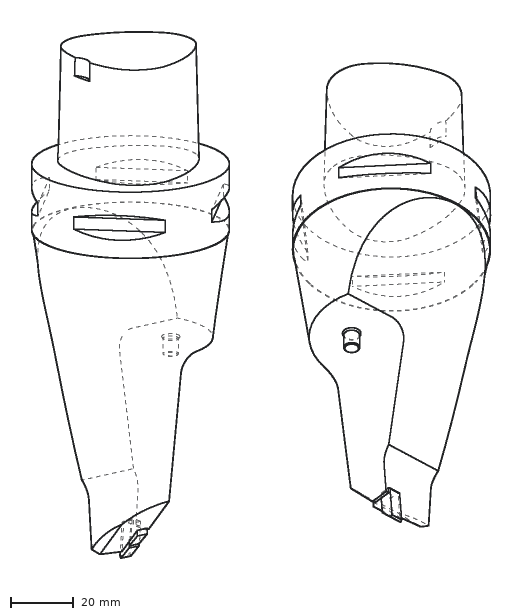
import cadquery as cq
import math

total_length = 168.0
BIG = 100.8

shank_length = 38.0
lobe_radius = 14.5
lobe_center_distance = 9.4
lobe_flat_distance = 20.5
taper_per_side = 1 / 40
notch_depth_z = 6.0
notch_radius = 5.9
notch_axis_y = -23.9

flange_radius = 63.0 / 2
flange_height = 22.0
slot_floor_radius = 27.9
slot_floor_height = 4.0
slot_center_z = -12.0
slot_wall_angle = math.radians(30)

neck_top_radius = 31.2
neck_half_angle = math.radians(8)
neck_bottom_z = -132.7

scoop_end = (-7.2, -61.0)
blade_tilt = math.radians(11)
relief_start_z = -101.1
relief_end = (2.9, -107.7)
rake_angle = math.radians(5)

blade_side_y = 0.7
step_z = -57.6
step_fillet = 6.0

heel = (19.5, -107.4)
end_slope = math.tan(math.radians(48))
end_bevel_inner = (-13.3, 0.7)
end_bevel_outer = (-17.1, 3.0)

insert_y_max = -0.3
insert_width = 4.0
rim_end_z = -119.5
support_tip = (4.9, -125.0)
support_heel = (9.2, -120.6)
support_height = 5.0

insert_top_z = -117.3
insert_stand_off = 0.8
insert_top_drop = 0.7
insert_edge_z = -129.4
insert_tip = (0.7, shank_length - total_length)
insert_heel = (4.9, -125.7)

nozzle_x = 6.7
nozzle_y = 11.0
nozzle_diameter = 5.0
nozzle_length = 6.0
collar_diameter = 5.9
collar_height = 0.7
nozzle_chamfer = 0.3


def rake_x(z):
    """X of the blade's rake face at height z."""
    return relief_end[0] + (z - relief_end[1]) * math.tan(rake_angle)


def polar(radius, angle):
    """Point at a radius and an angle in degrees around the tool axis."""
    return (radius * math.cos(math.radians(angle)), radius * math.sin(math.radians(angle)))


def add_lobe_outline(plane, inset):
    """Three lobes, one on +Y, joined by tangent side arcs; inset shrinks them evenly."""
    gap = lobe_flat_distance - lobe_radius
    side_center_distance = (gap**2 - lobe_center_distance**2) / (lobe_center_distance - 2 * gap)
    side_radius = side_center_distance + lobe_flat_distance
    half_sweep = math.asin(
        lobe_center_distance * math.sin(math.radians(60)) / (side_radius - lobe_radius)
    )
    inset_radius = side_radius - inset
    tangent_out = inset_radius * math.cos(half_sweep) - side_center_distance
    tangent_across = inset_radius * math.sin(half_sweep)
    tangent_radius = math.hypot(tangent_out, tangent_across)
    tangent_angle = math.degrees(math.atan2(tangent_across, tangent_out))
    lobe_tip = lobe_center_distance + lobe_radius - inset
    flat = lobe_flat_distance - inset

    outline = plane.moveTo(*polar(tangent_radius, 30 - tangent_angle))
    for side_angle in (30, 150, 270):
        outline = outline.threePointArc(
            polar(flat, side_angle), polar(tangent_radius, side_angle + tangent_angle)
        ).threePointArc(
            polar(lobe_tip, side_angle + 60),
            polar(tangent_radius, side_angle + 120 - tangent_angle),
        )
    return outline.close()


def make_shank():
    base = add_lobe_outline(cq.Workplane("XY"), 0)
    top_plane = base.workplane(offset=shank_length)
    shank = add_lobe_outline(top_plane, shank_length * taper_per_side).loft(ruled=True)
    notch = (
        cq.Workplane("XY", origin=(0, notch_axis_y, shank_length - notch_depth_z))
        .circle(notch_radius)
        .extrude(notch_depth_z)
    )
    return shank.cut(notch)


def make_flange():
    flange = cq.Workplane("XY").circle(flange_radius).extrude(-flange_height)
    depth = flange_radius - slot_floor_radius
    half_floor = slot_floor_height / 2
    half_mouth = half_floor + depth * math.tan(slot_wall_angle)
    slot = (
        cq.Workplane("XZ", origin=(0, 0, slot_center_z))
        .polyline([
            (slot_floor_radius, -half_floor),
            (flange_radius, -half_mouth),
            (flange_radius, half_mouth),
            (slot_floor_radius, half_floor),
        ])
        .close()
        .extrude(flange_radius, both=True)
    )
    for angle in (45, 135, 225, 315):
        flange = flange.cut(slot.rotate((0, 0, 0), (0, 0, 1), angle))
    return flange


def make_neck():
    neck_height = -flange_height - neck_bottom_z
    bottom_radius = neck_top_radius - neck_height * math.tan(neck_half_angle)
    return (
        cq.Workplane("XZ")
        .polyline([
            (0, -flange_height),
            (neck_top_radius, -flange_height),
            (bottom_radius, neck_bottom_z),
            (0, neck_bottom_z),
        ])
        .close()
        .revolve(360, (0, 0), (0, 1))
    )


def arc_middle(start, end, end_direction):
    """Middle point of the arc from start to end that leaves end along end_direction."""
    dx = end[0] - start[0]
    dz = end[1] - start[1]
    chord_angle = math.atan2(dz, dx)
    half_sweep = math.atan2(end_direction[1], end_direction[0]) - chord_angle
    sagitta = math.hypot(dx, dz) / 2 * math.tan(half_sweep / 2)
    return (
        (start[0] + end[0]) / 2 + sagitta * math.sin(chord_angle),
        (start[1] + end[1]) / 2 - sagitta * math.cos(chord_angle),
    )


def scoop_cutter():
    """Everything on the -X side of the scoop, the blade's flat and the rake face."""
    scoop_start = (-flange_radius, -flange_height)
    flat_direction = (math.sin(blade_tilt), -math.cos(blade_tilt))
    rake_direction = (-math.sin(rake_angle), -math.cos(rake_angle))
    relief_start_x = scoop_end[0] + (scoop_end[1] - relief_start_z) * math.tan(blade_tilt)
    relief_start = (relief_start_x, relief_start_z)
    return (
        cq.Workplane("XZ")
        .moveTo(*scoop_start)
        .threePointArc(arc_middle(scoop_start, scoop_end, flat_direction), scoop_end)
        .lineTo(*relief_start)
        .threePointArc(arc_middle(relief_start, relief_end, rake_direction), relief_end)
        .lineTo(rake_x(neck_bottom_z), neck_bottom_z)
        .lineTo(-BIG, neck_bottom_z)
        .lineTo(-BIG, -flange_height)
        .close()
        .extrude(BIG, both=True)
    )


def step_cutter():
    """Block on the +Y side of the blade, with a round inner corner."""
    return (
        cq.Workplane("XY", origin=(0, blade_side_y + BIG / 2, step_z - BIG / 2))
        .box(BIG, BIG, BIG)
        .edges("<Y and >Z")
        .fillet(step_fillet)
    )


def end_cutter():
    """Everything below the slanted end, which is bevelled on the -Y side."""
    start_x = -heel[0]
    end_z = heel[1] + (start_x - heel[0]) * end_slope
    bevel_inner_y, bevel_inner_rise = end_bevel_inner
    bevel_outer_y, bevel_outer_rise = end_bevel_outer
    bevel_slope = (bevel_outer_rise - bevel_inner_rise) / (bevel_inner_y - bevel_outer_y)
    far_rise = bevel_inner_rise + (BIG + bevel_inner_y) * bevel_slope
    wire = (
        cq.Workplane("YZ", origin=(start_x, 0, 0))
        .polyline([
            (BIG, end_z),
            (insert_y_max - insert_width, end_z),
            (bevel_inner_y, end_z + bevel_inner_rise),
            (-BIG, end_z + far_rise),
            (-BIG, end_z - BIG),
            (BIG, end_z - BIG),
        ])
        .close()
        .val()
    )
    slant = cq.Vector(BIG, 0, BIG * end_slope)
    return cq.Workplane(obj=cq.Solid.extrudeLinear(wire, [], slant))


def across_insert(points):
    """Extrude an XZ outline over the width of the insert."""
    return (
        cq.Workplane("XZ", origin=(0, insert_y_max, 0))
        .polyline(points)
        .close()
        .extrude(insert_width)
    )


def make_support():
    """Tongue of the holder that carries the insert from below."""
    return across_insert([
        support_tip,
        support_heel,
        (support_heel[0], support_heel[1] + support_height),
        (support_tip[0], support_tip[1] + support_height),
    ])


def rim_cutter():
    """Clears the blade beside the exposed part of the insert."""
    return (
        cq.Workplane("XY", origin=(0, insert_y_max + BIG / 2, rim_end_z - BIG / 2))
        .box(BIG, BIG, BIG)
    )


def make_nozzle():
    end_radius = nozzle_diameter / 2 - nozzle_chamfer
    return (
        cq.Workplane("XZ", origin=(nozzle_x, nozzle_y, step_z))
        .polyline([
            (0, 0),
            (collar_diameter / 2, 0),
            (nozzle_diameter / 2, -collar_height),
            (nozzle_diameter / 2, nozzle_chamfer - nozzle_length),
            (end_radius, -nozzle_length),
            (0, -nozzle_length),
        ])
        .close()
        .revolve(360, (0, 0), (0, 1))
    )


def make_insert():
    back_top_x = insert_heel[0] + (insert_top_z - insert_heel[1]) * math.tan(rake_angle)
    face_top_z = insert_top_z - insert_top_drop
    return across_insert([
        (rake_x(insert_top_z), insert_top_z),
        (rake_x(face_top_z) - insert_stand_off, face_top_z),
        (rake_x(insert_edge_z) - insert_stand_off, insert_edge_z),
        insert_tip,
        insert_heel,
        (back_top_x, insert_top_z),
    ])


def make_holder(insert):
    blade = make_neck().cut(scoop_cutter()).cut(step_cutter()).cut(end_cutter())
    blade = blade.union(make_support()).cut(rim_cutter()).cut(insert)
    return make_shank().union(make_flange()).union(blade).union(make_nozzle())


insert = make_insert()
holder = make_holder(insert)

result = cq.Compound.makeCompound([holder.solids().val(), insert.val()])